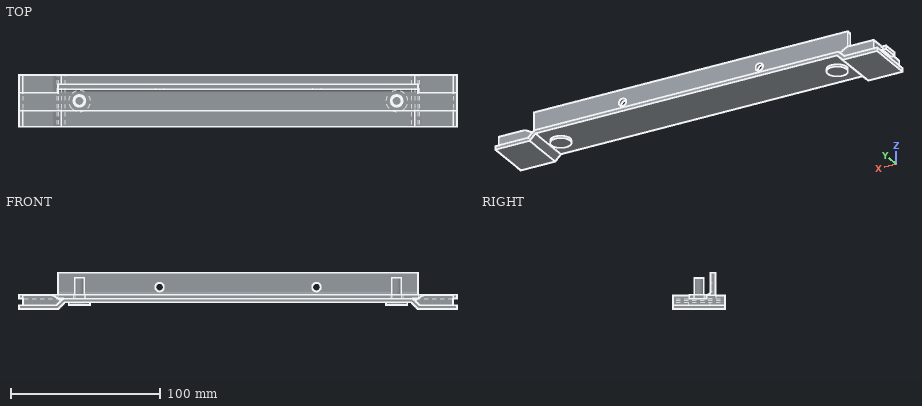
import cadquery as cq
import math

LENGTH = 293.7
WIDTH = 35.0
HEIGHT = 24.5
HALF = LENGTH / 2

SHEET = 2.5
RISE = 4.5
END_FLAT = 25.3
BEND_RADIUS = 2.5
BOTTOM_BEND_SHIFT = 1.2
MIDDLE_TOP = SHEET + RISE

BLOCK_SETBACK = 2.5
BLOCK_TOP = 9.0
BLOCK_FLAT_END = 23.0
BLOCK_SLOPE = 30.0
BLOCK_EDGE_RADIUS = 2.3

RAIL_THICKNESS = 2.5
STRIP_FRONT = -6.5
STRIP_BACK = 5.3
FLANGE_BACK = 11.2
FLANGE_THICKNESS = 3.5
FLANGE_LENGTH = 241.5
RAIL_TOP = MIDDLE_TOP + RAIL_THICKNESS
RAIL_FILLET = 2.0
FLANGE_HOLE_DIAMETER = 5.5
FLANGE_HOLE_X = 52.5
FLANGE_HOLE_Z = 14.7

BOLT_X = 106.3
BOLT_TOP = 20.9
SHANK_DIAMETER = 6.5
HEAD_DIAMETER = 14.5
HEAD_HEIGHT = 1.8
PLATE_HOLE_DIAMETER = 6.8
RAIL_HOLE_DIAMETER = 8.0


def box(x_size, y_min, y_max, z_min, z_max):
    """Box centred on X = 0, between the given Y and Z limits."""
    return (
        cq.Workplane("XY", origin=(0, (y_min + y_max) / 2, z_min))
        .box(x_size, y_max - y_min, z_max - z_min, centered=(True, True, False))
    )


def extrude_across(points):
    """Extrude an XZ outline over the full width, centred on Y = 0."""
    return cq.Workplane("XZ").polyline(points).close().extrude(WIDTH / 2, both=True)


def edge_at(x, z):
    """Selector for the crosswise edge at the given X and Z."""
    reach = 0.15
    return cq.selectors.BoxSelector((x - reach, -reach, z - reach), (x + reach, reach, z + reach))


def bolt_holes(diameter):
    """Cylinders that cut a hole at each bolt."""
    return (
        cq.Workplane("XY")
        .pushPoints([(-BOLT_X, 0), (BOLT_X, 0)])
        .circle(diameter / 2)
        .extrude(HEIGHT)
    )


def make_plate():
    top_low = HALF - END_FLAT
    top_high = top_low - RISE
    bottom_low = top_low - BOTTOM_BEND_SHIFT
    bottom_high = bottom_low - RISE
    right_half = [
        (bottom_high, RISE),
        (bottom_low, 0),
        (HALF, 0),
        (HALF, SHEET),
        (top_low, SHEET),
        (top_high, MIDDLE_TOP),
    ]
    left_half = [(-x, z) for x, z in reversed(right_half)]
    plate = extrude_across(right_half + left_half)
    for x in (-top_high, top_high):
        plate = plate.edges(edge_at(x, MIDDLE_TOP)).fillet(BEND_RADIUS)
    return plate.cut(bolt_holes(PLATE_HOLE_DIAMETER))


def make_rail():
    strip = box(LENGTH, STRIP_FRONT, STRIP_BACK, MIDDLE_TOP, RAIL_TOP)
    flange_front = FLANGE_BACK - FLANGE_THICKNESS
    angle = (
        cq.Workplane("YZ", origin=(-FLANGE_LENGTH / 2, 0, 0))
        .moveTo(STRIP_FRONT, MIDDLE_TOP)
        .lineTo(FLANGE_BACK, MIDDLE_TOP)
        .lineTo(FLANGE_BACK, HEIGHT)
        .lineTo(flange_front, HEIGHT)
        .lineTo(flange_front, RAIL_TOP + RAIL_FILLET)
        .radiusArc((flange_front - RAIL_FILLET, RAIL_TOP), RAIL_FILLET)
        .lineTo(STRIP_FRONT, RAIL_TOP)
        .close()
        .extrude(FLANGE_LENGTH)
    )
    flange_holes = (
        cq.Workplane("XZ")
        .pushPoints([(-FLANGE_HOLE_X, FLANGE_HOLE_Z), (FLANGE_HOLE_X, FLANGE_HOLE_Z)])
        .circle(FLANGE_HOLE_DIAMETER / 2)
        .extrude(-WIDTH)
    )
    return strip.union(angle).cut(flange_holes).cut(bolt_holes(RAIL_HOLE_DIAMETER))


def make_block(side, rail):
    """End block on the side -1 or +1; its inner end is a point resting on the plate's slope."""
    fall = math.tan(math.radians(BLOCK_SLOPE))
    tip_inset = (BLOCK_TOP - SHEET + END_FLAT + fall * BLOCK_FLAT_END) / (1 + fall)
    tip_z = SHEET + tip_inset - END_FLAT
    outline = [
        (BLOCK_SETBACK, SHEET),
        (END_FLAT, SHEET),
        (tip_inset, tip_z),
        (BLOCK_FLAT_END, BLOCK_TOP),
        (BLOCK_SETBACK, BLOCK_TOP),
    ]
    block = extrude_across([(side * (HALF - inset), z) for inset, z in outline])
    slope_edge = edge_at(side * (HALF - BLOCK_FLAT_END), BLOCK_TOP)
    return block.edges(slope_edge).fillet(BLOCK_EDGE_RADIUS).cut(rail)


def make_bolt(x):
    head = (
        cq.Workplane("XY", origin=(x, 0, RISE - HEAD_HEIGHT))
        .circle(HEAD_DIAMETER / 2)
        .extrude(HEAD_HEIGHT)
    )
    shank = (
        cq.Workplane("XY", origin=(x, 0, RISE))
        .circle(SHANK_DIAMETER / 2)
        .extrude(BOLT_TOP - RISE)
    )
    return head.union(shank)


plate = make_plate()
rail = make_rail()
blocks = [make_block(side, rail) for side in (-1, 1)]
bolts = [make_bolt(x) for x in (-BOLT_X, BOLT_X)]

result = cq.Compound.makeCompound([
    plate.val(),
    rail.val(),
    *[block.val() for block in blocks],
    *[bolt.val() for bolt in bolts],
])